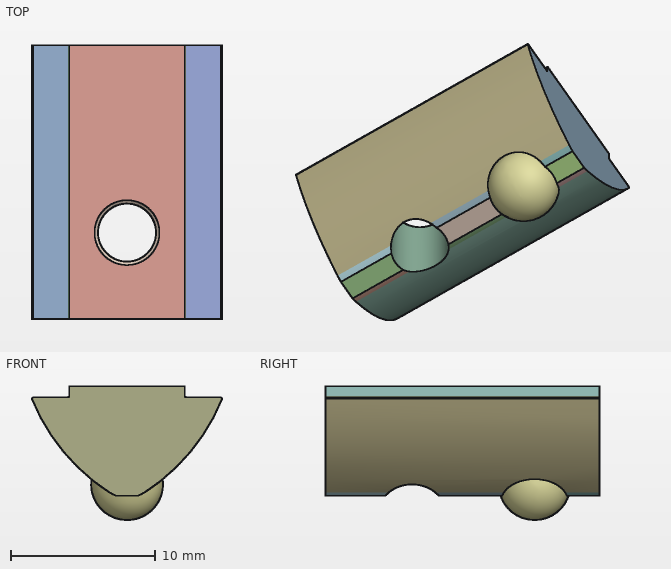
import cadquery as cq

length = 19.0
width = 13.2
body_height = 7.6
overall_height = 9.3

rail_width = 8.02
rail_height = 0.76
rail_root_radius = 0.1
rail_edge_radius = 0.04

tip_height = 0.11
tip_inset = 0.1
flank_mid_x = 4.45
flank_mid_z = -4.5
flank_end_x = 1.2
flank_end_z = -7.37
keel_half_width = 0.76

hole_diameter = 4.0
hole_mouth_diameter = 4.5
hole_y = -3.5

ball_radius = 2.5
ball_y = 5.0


def make_body():
    """Extrude the symmetric nut profile along its length."""
    rail_x = rail_width / 2
    shoulder_z = -rail_height
    tip_z = shoulder_z - tip_height
    profile = (
        cq.Workplane("XZ")
        .moveTo(0, 0)
        .lineTo(rail_x - rail_edge_radius, 0)
        .radiusArc((rail_x, -rail_edge_radius), rail_edge_radius)
        .lineTo(rail_x, shoulder_z + rail_root_radius)
        .radiusArc((rail_x + rail_root_radius, shoulder_z), -rail_root_radius)
        .lineTo(width / 2 - tip_inset, shoulder_z)
        .lineTo(width / 2, tip_z)
        .threePointArc((flank_mid_x, flank_mid_z), (flank_end_x, flank_end_z))
        .tangentArcPoint((keel_half_width, -body_height), relative=False)
        .lineTo(0, -body_height)
        .close()
    )
    half = profile.extrude(length / 2, both=True)
    return half.union(half.mirror("YZ"))


def make_hole():
    """Vertical through hole with a 45 degree countersink at the top."""
    countersink_depth = (hole_mouth_diameter - hole_diameter) / 2
    bore = (
        cq.Workplane("XY")
        .center(0, hole_y)
        .circle(hole_diameter / 2)
        .extrude(-body_height)
    )
    mouth = (
        cq.Workplane("XY")
        .center(0, hole_y)
        .circle(hole_mouth_diameter / 2)
        .workplane(offset=-countersink_depth)
        .circle(hole_diameter / 2)
        .loft()
    )
    return bore.union(mouth)


def make_ball():
    """Ball whose lowest point sets the overall height."""
    ball_z = ball_radius - overall_height
    return cq.Workplane("XY").sphere(ball_radius).translate((0, ball_y, ball_z))


result = make_body().cut(make_hole()).union(make_ball())